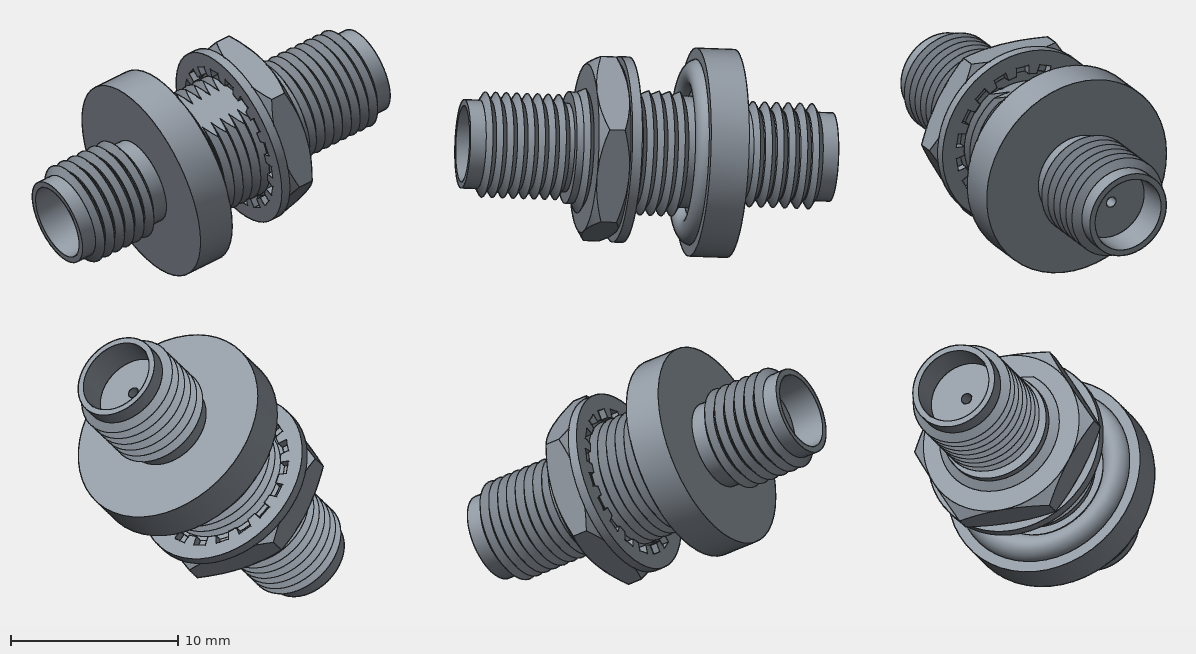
import cadquery as cq
import math


total_length = 22.35
front_length = 6.09
flange_radius = 12.45 / 2
flange_thickness = 2.31
y_front = -front_length
y_rear = total_length - front_length

coupling_root_radius = 2.65
coupling_crest_radius = 3.15
plain_end_length = 0.945
bore_radius = 2.28
bore_depth = 2.0
contact_hole_radius = 0.33
contact_hole_depth = 2.0

tooth_width = 0.636
front_thread_pitch = 0.715
front_thread_count = 6
front_thread_start = y_front + plain_end_length
rear_thread_count = 8
rear_thread_start = y_rear - plain_end_length - rear_thread_count * tooth_width

barrel_root_radius = 3.34
barrel_crest_radius = 3.88
barrel_thread_count = 10
barrel_thread_start = 3.14
barrel_end = 9.93
barrel_flat_height = 3.2
barrel_flat_end = 9.65

ring_section_radius = 0.89
ring_height = 0.66
ring_outer_radius_at_flange = 5.56
ring_centre_y = flange_thickness + ring_height - ring_section_radius
ring_centre_radius = ring_outer_radius_at_flange - math.sqrt(
    ring_section_radius**2 - (flange_thickness - ring_centre_y) ** 2
)

washer_front = 6.37
washer_thickness = 0.59
washer_radius = 5.55
washer_bore_radius = 4.05
slot_count = 18
slot_width = 0.85
slot_depth = 0.47
slot_outer_radius = 4.59

nut_front = washer_front + washer_thickness
nut_thickness = 1.94
nut_across_flats = 10.08
nut_chamfer_height = 0.5


def cylinder(radius, y_start, y_end):
    """Solid cylinder on the Y axis."""
    return cq.Workplane("XZ", origin=(0, y_start, 0)).circle(radius).extrude(y_start - y_end)


def revolve_about_y(profile):
    """Full turn of an XY profile around the Y axis."""
    return profile.revolve(360, (0, 0, 0), (0, 1, 0))


def threaded_rod(root_radius, crest_radius, y_start, y_end, first_tooth, count, pitch):
    """Rod from y_start to y_end carrying a row of triangular thread rings."""
    profile = cq.Workplane("XY").moveTo(0, y_start).lineTo(root_radius, y_start)
    for i in range(count):
        tooth_start = first_tooth + i * pitch
        if i == 0 or pitch > tooth_width:
            profile = profile.lineTo(root_radius, tooth_start)
        profile = profile.lineTo(crest_radius, tooth_start + tooth_width / 2)
        profile = profile.lineTo(root_radius, tooth_start + tooth_width)
    return revolve_about_y(profile.lineTo(root_radius, y_end).lineTo(0, y_end).close())


def make_o_ring():
    """Torus around the Y axis."""
    return revolve_about_y(
        cq.Workplane("XY").center(ring_centre_radius, ring_centre_y).circle(ring_section_radius)
        .center(-ring_centre_radius, -ring_centre_y)
    )


def make_barrel():
    """Nut thread with the flat milled along its top up to a full collar at the rear."""
    barrel = threaded_rod(
        barrel_root_radius, barrel_crest_radius, flange_thickness, barrel_end,
        barrel_thread_start, barrel_thread_count, tooth_width,
    )
    flat_cut = cq.Workplane("XY").box(
        2 * barrel_crest_radius, barrel_flat_end - flange_thickness, barrel_crest_radius,
        centered=(True, False, False),
    ).translate((0, flange_thickness, barrel_flat_height))
    return barrel.cut(flat_cut)


def make_connector(o_ring):
    """One-piece body with both couplings, the flange grooved for the O-ring and the nut barrel."""
    front_coupling = threaded_rod(
        coupling_root_radius, coupling_crest_radius, y_front, 0,
        front_thread_start, front_thread_count, front_thread_pitch,
    )
    rear_coupling = threaded_rod(
        coupling_root_radius, coupling_crest_radius, barrel_end, y_rear,
        rear_thread_start, rear_thread_count, tooth_width,
    )
    flange = cylinder(flange_radius, 0, flange_thickness).cut(o_ring)
    connector = flange.union(front_coupling).union(make_barrel()).union(rear_coupling)
    front_floor = y_front + bore_depth
    rear_floor = y_rear - bore_depth
    connector = connector.cut(cylinder(bore_radius, y_front, front_floor))
    connector = connector.cut(cylinder(contact_hole_radius, front_floor, front_floor + contact_hole_depth))
    connector = connector.cut(cylinder(bore_radius, rear_floor, y_rear))
    return connector.cut(cylinder(contact_hole_radius, rear_floor - contact_hole_depth, rear_floor))


def make_lock_washer():
    """Ring whose front face has slots open to the bore."""
    washer_rear = washer_front + washer_thickness
    washer = cylinder(washer_radius, washer_front, washer_rear)
    washer = washer.cut(cylinder(washer_bore_radius, washer_front, washer_rear))
    slot = cq.Workplane("XY").box(
        slot_width, slot_depth, slot_outer_radius, centered=(True, False, False)
    ).translate((0, washer_front, 0))
    for i in range(slot_count):
        washer = washer.cut(slot.rotate((0, 0, 0), (0, 1, 0), i * 360 / slot_count))
    return washer


def make_nut(connector):
    """Hexagon with flats facing up and down, chamfered on both faces and threaded onto the barrel."""
    nut_rear = nut_front + nut_thickness
    flat_radius = nut_across_flats / 2
    corner_radius = flat_radius / math.cos(math.pi / 6)
    hexagon = (
        cq.Workplane("XZ", origin=(0, nut_front, 0))
        .polygon(6, 2 * corner_radius)
        .extrude(-nut_thickness)
    )
    chamfer_envelope = revolve_about_y(
        cq.Workplane("XY").polyline([
            (barrel_root_radius, nut_front),
            (flat_radius, nut_front),
            (corner_radius, nut_front + nut_chamfer_height),
            (corner_radius, nut_rear - nut_chamfer_height),
            (flat_radius, nut_rear),
            (barrel_root_radius, nut_rear),
        ]).close()
    )
    return hexagon.intersect(chamfer_envelope).cut(connector)


o_ring = make_o_ring()
connector = make_connector(o_ring)
lock_washer = make_lock_washer()
nut = make_nut(connector)

result = cq.Compound.makeCompound([connector.val(), o_ring.val(), lock_washer.val(), nut.val()])